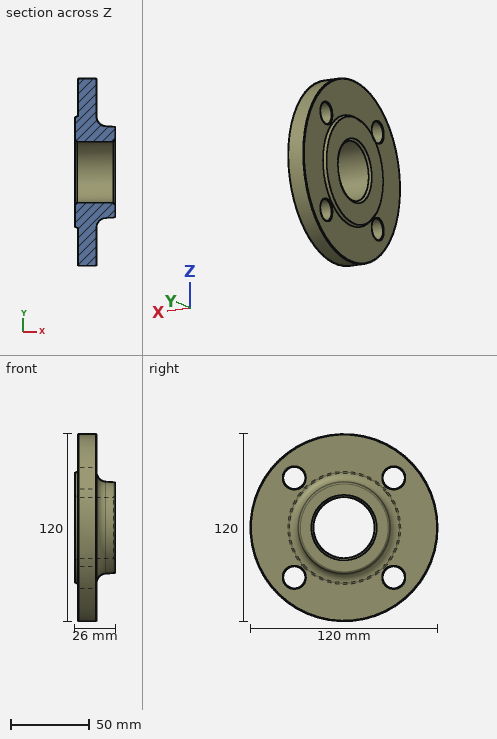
import cadquery as cq
import math

raised_face_height = 2.0
flange_thickness = 12.0
overall_length = 26.0
flange_back = raised_face_height + flange_thickness

flange_radius = 120.0 / 2
flange_edge_chamfer = 0.5
raised_face_rim_radius = 70.0 / 2
raised_face_edge_angle = math.radians(30.0)
raised_face_base_radius = raised_face_rim_radius + raised_face_height * math.tan(raised_face_edge_angle)

hub_end_radius = 29.1
hub_taper = math.radians(4.0)
hub_fillet_radius = 6.0
hub_end_rounding = 1.0

bore_radius = 38.95 / 2
bore_mouth_radius = 41.91 / 2
bore_chamfer_depth = bore_mouth_radius - bore_radius

bolt_count = 4
bolt_circle_radius = 90.0 / 2
bolt_hole_radius = 14.0 / 2
bolt_hole_chamfer = 0.5
first_bolt_angle = 45.0


def hub_radius_at(x):
    """Radius of the hub cone at axial station x."""
    return hub_end_radius + (overall_length - x) * math.tan(hub_taper)


def flange_body():
    """Flange, raised face, hub and bore revolved about X; sketch points are (x, radius)."""
    fillet_end_x = flange_back + hub_fillet_radius * (1 - math.sin(hub_taper))
    fillet_end_radius = hub_radius_at(fillet_end_x)
    fillet_center_x = flange_back + hub_fillet_radius
    fillet_center_radius = fillet_end_radius + hub_fillet_radius * math.cos(hub_taper)
    mid_angle = (math.pi / 2 - hub_taper) / 2
    fillet_mid = (
        fillet_center_x - hub_fillet_radius * math.cos(mid_angle),
        fillet_center_radius - hub_fillet_radius * math.sin(mid_angle),
    )

    profile = (
        cq.Workplane("XY")
        .moveTo(0, bore_mouth_radius)
        .lineTo(0, raised_face_rim_radius)
        .lineTo(raised_face_height, raised_face_base_radius)
        .lineTo(raised_face_height, flange_radius - flange_edge_chamfer)
        .lineTo(raised_face_height + flange_edge_chamfer, flange_radius)
        .lineTo(flange_back - flange_edge_chamfer, flange_radius)
        .lineTo(flange_back, flange_radius - flange_edge_chamfer)
        .lineTo(flange_back, fillet_center_radius)
        .threePointArc(fillet_mid, (fillet_end_x, fillet_end_radius))
        .lineTo(overall_length, hub_end_radius)
        .lineTo(overall_length, bore_mouth_radius)
        .lineTo(overall_length - bore_chamfer_depth, bore_radius)
        .lineTo(bore_chamfer_depth, bore_radius)
        .close()
    )
    body = profile.revolve(360, (0, 0, 0), (1, 0, 0))
    hub_end_rim = cq.selectors.RadiusNthSelector(-1)
    return body.faces(">X").edges(hub_end_rim).fillet(hub_end_rounding)


def bolt_hole_cutter():
    """Bolt hole chamfered at both flange faces, placed on the +Y side; sketch points are (x, radius)."""
    mouth_radius = bolt_hole_radius + bolt_hole_chamfer
    cutter = (
        cq.Workplane("XY")
        .moveTo(raised_face_height, 0)
        .lineTo(raised_face_height, mouth_radius)
        .lineTo(raised_face_height + bolt_hole_chamfer, bolt_hole_radius)
        .lineTo(flange_back - bolt_hole_chamfer, bolt_hole_radius)
        .lineTo(flange_back, mouth_radius)
        .lineTo(flange_back, 0)
        .close()
        .revolve(360, (0, 0, 0), (1, 0, 0))
    )
    return cutter.translate((0, bolt_circle_radius, 0))


result = flange_body()
for index in range(bolt_count):
    bolt_angle = first_bolt_angle + index * 360.0 / bolt_count
    result = result.cut(bolt_hole_cutter().rotate((0, 0, 0), (1, 0, 0), bolt_angle))